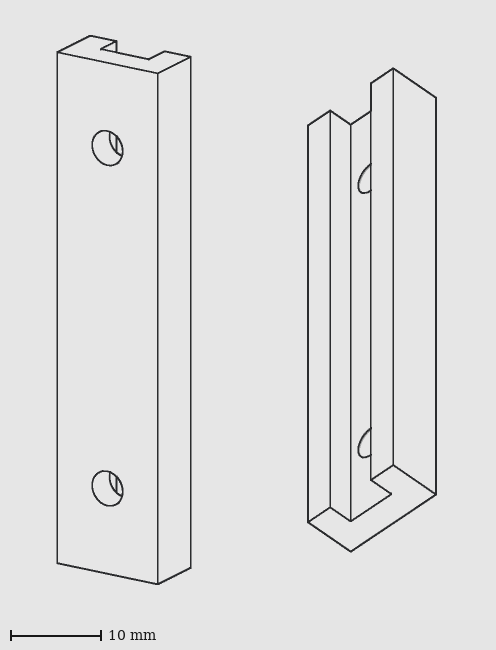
import cadquery as cq

width = 13.3
depth = 6.8
length = 60.0

channel_width = 6.35
channel_depth = 3.25

hole_diameter = 4.0
hole_end_distance = 10.0
hole_offset = length / 2 - hole_end_distance


def make_bar():
    return cq.Workplane("XY").box(width, depth, length)


def make_channel():
    channel_center_y = depth / 2 - channel_depth / 2
    return (
        cq.Workplane("XY")
        .box(channel_width, channel_depth, length)
        .translate((0, channel_center_y, 0))
    )


def make_holes():
    return (
        cq.Workplane("XZ")
        .pushPoints([(0, -hole_offset), (0, hole_offset)])
        .circle(hole_diameter / 2)
        .extrude(depth, both=True)
    )


result = make_bar().cut(make_channel()).cut(make_holes())